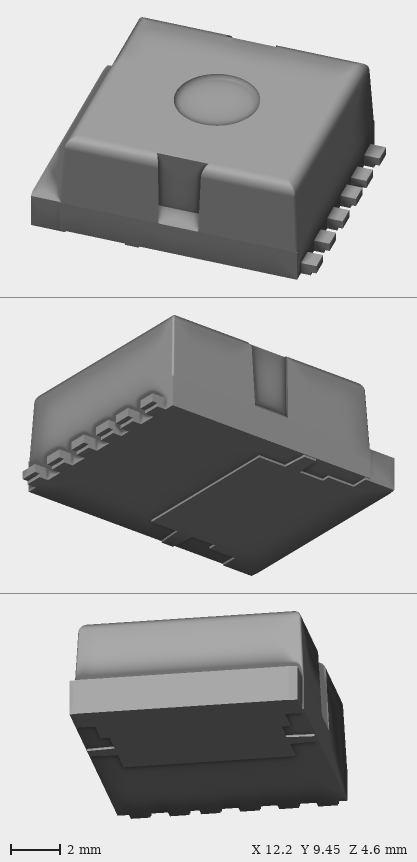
import cadquery as cq
import math

overall_length = 12.16
overall_width = 9.45
overall_height = 4.6

body_start = 1.3
body_end = 11.49
body_length = body_end - body_start
body_center_x = (body_start + body_end) / 2
body_bottom = 0.1
shoulder_height = 1.47
cover_draft = 3.0
cover_top_radius = 0.49
cover_corner_radius = 0.09

tab_width = 9.36
tab_corner_depth = 0.05
tab_corner_width = 0.35
pad_step_start = 1.52
pad_step_end = 2.82
pad_step_width = 7.78
pad_width = 7.05
pad_end = 6.09
ear_start = 4.0
ear_end = 4.77
ear_flank_run = 0.09

upper_lead_count = 2
lower_lead_count = 4
lead_pitch = 1.6
lead_middle_gap = 1.29
lead_width = 0.8
lead_top = 0.62
lead_tip_bottom = 0.25
lead_foot_end = 11.92

notch_center_x = 6.4
notch_mouth_width = 1.7
notch_back_width = 2.21
notch_depth = 0.55
notch_floor_rise = 0.49

dimple_center_x = 6.4
dimple_radius = 1.75
dimple_depth = 0.2


def make_body():
    """Straight lower block carrying a drafted cover with rounded top edges."""
    base = (
        cq.Workplane("XY", origin=(body_center_x, 0, body_bottom))
        .rect(body_length, overall_width)
        .extrude(shoulder_height - body_bottom)
    )
    cover = (
        cq.Workplane("XY", origin=(body_center_x, 0, shoulder_height))
        .rect(body_length, overall_width)
        .extrude(overall_height - shoulder_height, taper=cover_draft)
        .faces(">Z")
        .edges()
        .fillet(cover_top_radius)
    )
    corner_edges = cover.edges("not(#Z or |X or |Y)")
    return base.union(corner_edges.fillet(cover_corner_radius))


def make_tab():
    """Tab on the -X end, as high as the shoulder, with two shallow corner cuts."""
    half_width = tab_width / 2
    flat_half_width = half_width - tab_corner_width
    return (
        cq.Workplane("XY")
        .moveTo(body_start, -half_width)
        .lineTo(tab_corner_depth, -half_width)
        .lineTo(0, -flat_half_width)
        .lineTo(0, flat_half_width)
        .lineTo(tab_corner_depth, half_width)
        .lineTo(body_start, half_width)
        .close()
        .extrude(shoulder_height)
    )


def make_heat_pad():
    """Thin stepped pad under the body, with one ear reaching out on each side."""
    half_edge = [
        (body_start, tab_width / 2),
        (pad_step_start, tab_width / 2),
        (pad_step_start, pad_step_width / 2),
        (pad_step_end, pad_step_width / 2),
        (pad_step_end, pad_width / 2),
        (ear_start, pad_width / 2),
        (ear_start + ear_flank_run, tab_width / 2),
        (ear_end - ear_flank_run, tab_width / 2),
        (ear_end, pad_width / 2),
        (pad_end, pad_width / 2),
    ]
    mirrored_edge = [(x, -y) for x, y in reversed(half_edge)]
    return cq.Workplane("XY").polyline(half_edge + mirrored_edge).close().extrude(body_bottom)


def make_leads():
    """Six stepped leads; the gap after the second lead is narrower."""
    upper_span = (upper_lead_count - 1) * lead_pitch
    lower_span = (lower_lead_count - 1) * lead_pitch
    upper_start = (upper_span + lead_middle_gap + lower_span) / 2
    lower_start = upper_start - upper_span - lead_middle_gap
    upper_ys = [upper_start - i * lead_pitch for i in range(upper_lead_count)]
    lower_ys = [lower_start - i * lead_pitch for i in range(lower_lead_count)]
    lead_profile = [
        (body_end, body_bottom),
        (lead_foot_end, body_bottom),
        (lead_foot_end, lead_tip_bottom),
        (overall_length, lead_tip_bottom),
        (overall_length, lead_top),
        (body_end, lead_top),
    ]
    leads = cq.Workplane("XY")
    for lead_y in upper_ys + lower_ys:
        lead = (
            cq.Workplane("XZ", origin=(0, lead_y, 0))
            .polyline(lead_profile)
            .close()
            .extrude(lead_width / 2, both=True)
        )
        leads = leads.add(lead)
    return leads.combine()


def make_notch_cutter():
    """Dovetail column for the -Y side, with its floor rising towards the back."""
    mouth_y = -overall_width / 2
    back_y = mouth_y + notch_depth
    column = (
        cq.Workplane("XY", origin=(notch_center_x, 0, shoulder_height))
        .polyline([
            (-notch_mouth_width / 2, mouth_y),
            (notch_mouth_width / 2, mouth_y),
            (notch_back_width / 2, back_y),
            (-notch_back_width / 2, back_y),
        ])
        .close()
        .extrude(overall_height - shoulder_height)
    )
    floor_wedge = (
        cq.Workplane("YZ", origin=(notch_center_x, 0, 0))
        .polyline([
            (mouth_y, shoulder_height),
            (back_y, shoulder_height),
            (back_y, shoulder_height + notch_floor_rise),
        ])
        .close()
        .extrude(notch_back_width, both=True)
    )
    return column.cut(floor_wedge)


def make_dimple_cutter():
    """Shallow round recess whose wall is a quarter round of the same depth."""
    floor_radius = dimple_radius - dimple_depth
    floor_z = overall_height - dimple_depth
    diagonal = dimple_depth * math.sqrt(0.5)
    return (
        cq.Workplane("XZ", origin=(dimple_center_x, 0, 0))
        .moveTo(0, overall_height)
        .lineTo(dimple_radius, overall_height)
        .threePointArc(
            (floor_radius + diagonal, overall_height - diagonal),
            (floor_radius, floor_z),
        )
        .lineTo(0, floor_z)
        .close()
        .revolve(360, (0, 0, 0), (0, 1, 0))
    )


notch = make_notch_cutter()
body = make_body().cut(notch).cut(notch.mirror("XZ")).cut(make_dimple_cutter())
result = body.union(make_tab()).union(make_heat_pad()).union(make_leads())